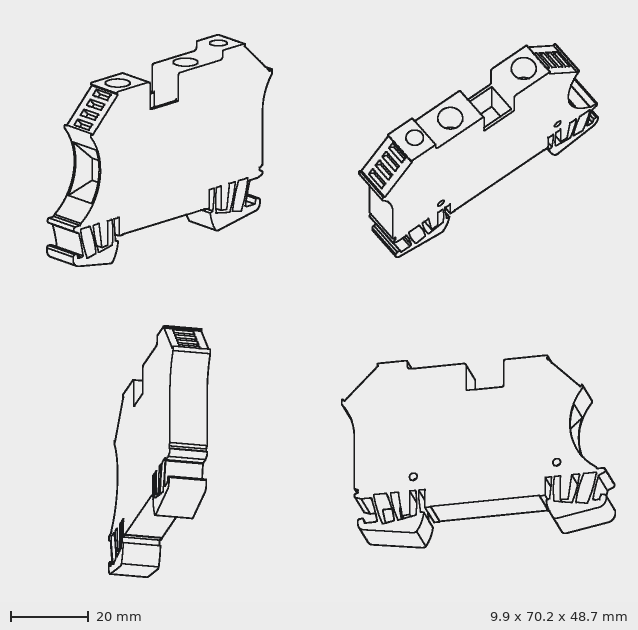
import cadquery as cq
import math

width = 9.9
height = 48.7
half_length = 35.1
rail_y = -2.95

deck_z = 46.25
tower_step_y = 17.7
block_z = 6.8
window_top_z = 11.85
left_ledge_z = 11.0

end_radius = 15.45
left_wall_y = 31.7
left_arc_z = 28.65
left_arc_top_z = 38.25
right_arc_y = -25.4
right_arc_z = 26.3
right_arc_top_z = 35.8
right_arc_low_z = 13.4

left_slope_top = (25.4, 48.0)
right_slope_top = (-19.3, 45.4)
slope_fall = 8.9

slot_y_max = 2.05
slot_y_min = -7.85
slot_floor_z = 38.6
tower_top_radius = 0.3
tower_step_radius = 1.0
slot_edge_radius = 0.7
slot_corner_radius = 0.4

block_half = 15.95
block_recess_half = 14.4
block_recess = 0.15


def extrude_profile(profile, length=width):
    """Extrude a closed YZ profile symmetrically about X = 0."""
    return profile.extrude(length / 2, both=True)


def prism(points, length=width):
    return extrude_profile(cq.Workplane("YZ").polyline(points).close(), length)


def left_arc_y(z):
    """Y of the concave left wall at height z."""
    return left_wall_y + end_radius - math.sqrt(end_radius ** 2 - (z - left_arc_z) ** 2)


def right_hollow_y(z):
    """Y of the right-hand hollow at height z."""
    return right_arc_y - end_radius + math.sqrt(end_radius ** 2 - (z - right_arc_z) ** 2)


def make_housing():
    """Housing without its feet: one outline, then rounded deck and slot corners."""
    left_y, left_z = left_slope_top
    right_y, right_z = right_slope_top
    left_mid_z = (left_arc_z + left_arc_top_z) / 2
    profile = (
        cq.Workplane("YZ")
        .moveTo(rail_y + block_recess_half, block_z + block_recess)
        .lineTo(rail_y + block_recess_half, block_z)
        .lineTo(rail_y + block_half, block_z)
        .lineTo(rail_y + block_half, window_top_z)
        .lineTo(27.0, window_top_z)
        .lineTo(27.0, left_ledge_z - 0.3)
        .lineTo(27.4, left_ledge_z)
        .lineTo(29.9, left_ledge_z)
        .lineTo(31.3, 11.5)
        .threePointArc((31.7, 12.1), (31.3, 12.65))
        .lineTo(30.75, 13.0)
        .lineTo(30.75, 13.6)
        .lineTo(left_wall_y, 14.2)
        .lineTo(left_wall_y, left_arc_z)
        .threePointArc((left_arc_y(left_mid_z), left_mid_z), (left_arc_y(left_arc_top_z), left_arc_top_z))
        .lineTo(half_length, left_arc_top_z + 0.3)
        .lineTo(half_length, 39.25)
        .threePointArc((35.0, 39.45), (34.8, 39.6))
        .lineTo(left_y + slope_fall, left_z - slope_fall)
        .lineTo(left_y, left_z)
        .lineTo(left_y + 0.3, left_z + 0.3)
        .threePointArc((left_y + 0.15, height - 0.15), (left_y - 0.15, height))
        .lineTo(tower_step_y, height)
        .lineTo(tower_step_y, deck_z)
        .lineTo(slot_y_max, deck_z)
        .lineTo(slot_y_max, slot_floor_z)
        .lineTo(slot_y_min, slot_floor_z)
        .lineTo(slot_y_min, deck_z)
        .lineTo(right_y + 0.1, deck_z)
        .threePointArc((right_y - 0.2, deck_z - 0.15), (right_y - 0.3, right_z + 0.4))
        .lineTo(right_y, right_z)
        .lineTo(right_y - slope_fall, right_z - slope_fall)
        .lineTo(-28.65, 37.0)
        .threePointArc((-28.9, 36.5), (right_hollow_y(right_arc_top_z), right_arc_top_z))
        .threePointArc((right_arc_y, right_arc_z), (right_hollow_y(right_arc_low_z), right_arc_low_z))
        .lineTo(-32.65, 12.9)
        .lineTo(-34.4, 12.9)
        .threePointArc((-34.9, 12.35), (-34.6, 11.65))
        .lineTo(-33.55, 11.15)
        .threePointArc((-33.05, 10.8), (-32.85, 10.4))
        .lineTo(-32.3, window_top_z)
        .lineTo(rail_y - block_half, window_top_z)
        .lineTo(rail_y - block_half, block_z)
        .lineTo(rail_y - block_recess_half, block_z)
        .lineTo(rail_y - block_recess_half, block_z + block_recess)
        .close()
    )
    body = extrude_profile(profile)

    def edge_at(y, z):
        return body.edges(cq.selectors.BoxSelector((-width, y - 0.1, z - 0.1), (width, y + 0.1, z + 0.1)))

    for y, z, radius in (
        (tower_step_y, height, tower_top_radius),
        (tower_step_y, deck_z, tower_step_radius),
        (slot_y_max, deck_z, slot_edge_radius),
        (slot_y_min, deck_z, slot_edge_radius),
        (slot_y_max, slot_floor_z, slot_corner_radius),
        (slot_y_min, slot_floor_z, slot_corner_radius),
    ):
        body = edge_at(y, z).fillet(radius)
    return body


def make_foot(side, reach):
    """Spring foot; side is +1 or -1 along Y, reach is the hook's distance from rail_y."""

    def at(distance, z):
        return (rail_y + side * distance, z)

    toe = 19.0
    sole_slope = 0.17
    heel = reach - 1.8
    hook_top_z = 5.5
    hook_radius = 0.55
    root_z = window_top_z + 0.7
    outline = (
        cq.Workplane("YZ")
        .moveTo(*at(17.6, root_z))
        .lineTo(*at(17.6, 10.2))
        .lineTo(*at(17.1, 5.75))
        .lineTo(*at(16.2, 5.4))
        .threePointArc(at(16.85, 2.75), at(18.1, 0.3))
        .threePointArc(at(18.5, 0.1), at(toe, 0.0))
        .lineTo(*at(heel, sole_slope * (heel - toe)))
        .threePointArc(at(reach - 0.5, 2.8), at(reach, 4.1))
        .lineTo(*at(reach, hook_top_z - hook_radius))
        .threePointArc(at(reach - 0.2, hook_top_z - 0.2), at(reach - hook_radius, hook_top_z))
        .lineTo(*at(reach - 1.4, hook_top_z))
        .lineTo(*at(heel, 4.15))
        .lineTo(*at(29.1, 4.15))
        .lineTo(*at(28.65, 4.4))
        .threePointArc(at(29.2, 7.4), at(30.05, 10.5))
        .lineTo(*at(30.4, root_z))
        .close()
    )
    foot = extrude_profile(outline)

    corner_radius = 0.2
    outer_window = extrude_profile(
        cq.Workplane("YZ")
        .moveTo(*at(29.55, window_top_z))
        .lineTo(*at(26.2, window_top_z))
        .threePointArc(at(24.8, 7.7), at(24.1, 4.0))
        .lineTo(*at(27.2, 3.4))
        .threePointArc(at(28.65, 7.6), at(29.55, window_top_z))
        .close()
    )
    inner_window = extrude_profile(
        cq.Workplane("YZ")
        .moveTo(*at(25.05, window_top_z))
        .lineTo(*at(18.4, window_top_z))
        .threePointArc(at(18.1, 8.4), at(18.3, 4.9))
        .lineTo(*at(23.1, 4.0))
        .threePointArc(at(24.35, 7.85), at(25.05, window_top_z))
        .close()
    )
    outer_window = outer_window.edges("|X").fillet(corner_radius)
    inner_window = inner_window.edges("|X").fillet(corner_radius)
    peg = prism([at(23.1, root_z), at(20.0, root_z), at(20.0, 5.3), at(22.05, 5.05)])
    peg = peg.edges("|X and <Z").fillet(corner_radius)
    openings = outer_window.union(inner_window).cut(peg)
    return foot, openings


def make_marker_grooves(side, top):
    """Row of grooves cut square into a 45 degree marker slope, each with a tapered mouth."""
    count = 4
    first = 1.5
    pitch = 3.1
    mouth_half = 0.9
    throat_half = 0.7
    mouth_depth = 0.85
    depth = 2.1
    groove_length = 5.4
    section = [
        (-mouth_half, 0.0),
        (-throat_half, -mouth_depth),
        (-throat_half, -depth),
        (throat_half, -depth),
        (throat_half, -mouth_depth),
        (mouth_half, 0.0),
    ]
    groove = prism(section, groove_length)
    row = cq.Workplane("XY")
    for index in range(count):
        row = row.add(groove.translate((0, side * (first + index * pitch), 0)))
    y, z = top
    return row.combine().rotate((0, 0, 0), (1, 0, 0), -side * 45).translate((0, y, z))


def make_front_pocket():
    """Funnel-shaped wire entry opening into the right-hand hollow."""
    pocket_width = 8.8
    back_y = -19.65
    back_top_z = 25.8
    back_bottom_z = 19.8
    mouth_top_z = 31.9
    mouth_bottom_z = 17.7
    points = [
        (back_y, back_top_z),
        (back_y, back_bottom_z),
        (right_hollow_y(mouth_bottom_z), mouth_bottom_z),
        (-half_length, mouth_bottom_z),
        (-half_length, mouth_top_z),
        (right_hollow_y(mouth_top_z), mouth_top_z),
    ]
    return prism(points, pocket_width)


def make_bridge_pocket():
    """Deep pocket in the slot floor with a small sloping ledge on its +Y wall."""
    pocket_width = 8.3
    floor_z = 28.1
    ledge_z = 34.95
    ledge = 0.35
    open_z = slot_floor_z + 0.7
    points = [
        (slot_y_max, open_z),
        (slot_y_max, ledge_z),
        (slot_y_max - ledge, ledge_z - ledge),
        (slot_y_max - ledge, floor_z),
        (slot_y_min + ledge, floor_z),
        (slot_y_min + ledge, open_z),
    ]
    return prism(points, pocket_width)


def make_top_hole(y, top_z, diameter):
    """Blind vertical hole for screwdriver access."""
    depth = 10.5
    return cq.Workplane("XY", origin=(0, y, top_z)).circle(diameter / 2).extrude(-depth)


def make_side_hole(side):
    """Blind round hole in the -X face above a foot."""
    distance = 19.0
    z = 15.8
    diameter = 2.05
    depth = 3.5
    origin = (-width / 2, rail_y + side * distance, z)
    return cq.Workplane("YZ", origin=origin).circle(diameter / 2).extrude(depth)


left_reach = 33.8
right_reach = half_length + rail_y
small_hole = 4.5
large_hole = 6.4
top_holes = ((20.8, height, small_hole), (9.2, deck_z, large_hole), (-14.75, deck_z, large_hole))

result = make_housing()
for side, reach in ((1, left_reach), (-1, right_reach)):
    foot, openings = make_foot(side, reach)
    result = result.union(foot).cut(openings).cut(make_side_hole(side))
for side, top in ((1, left_slope_top), (-1, right_slope_top)):
    result = result.cut(make_marker_grooves(side, top))
for y, top_z, diameter in top_holes:
    result = result.cut(make_top_hole(y, top_z, diameter))
result = result.cut(make_front_pocket()).cut(make_bridge_pocket())